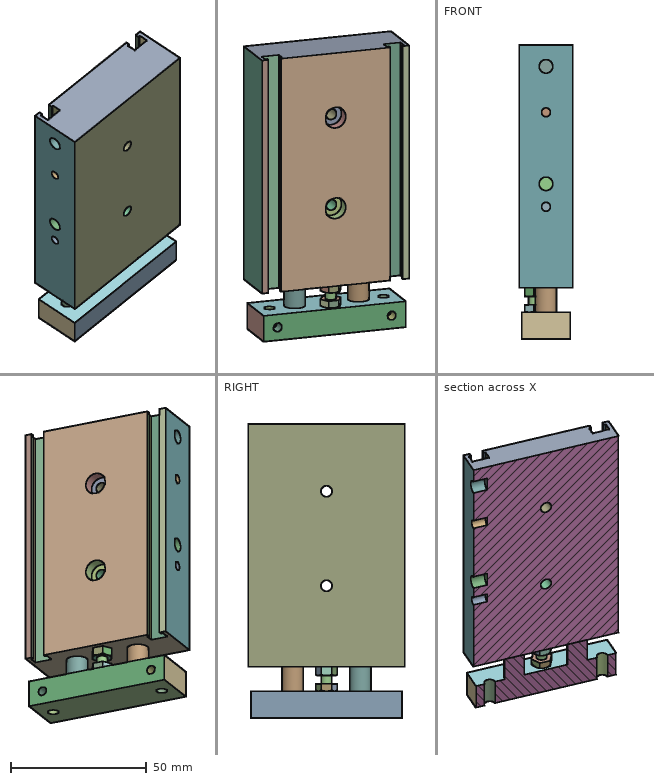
import cadquery as cq
import math

TOTAL_HEIGHT = 109.0
HOUSING_DEPTH = 20.0
HOUSING_WIDTH = 58.0
HOUSING_HEIGHT = 90.0
PLATE_DEPTH = 18.0
PLATE_WIDTH = 56.0
PLATE_HEIGHT = 10.0
GAP = TOTAL_HEIGHT - HOUSING_HEIGHT - PLATE_HEIGHT
HOUSING_BOTTOM = PLATE_HEIGHT + GAP
HOUSING_FACE_X = -HOUSING_DEPTH / 2
PLATE_FACE_X = -PLATE_DEPTH / 2

SLOT_EDGE_DISTANCE = 5.0
SLOT_CENTER_Y = HOUSING_WIDTH / 2 - SLOT_EDGE_DISTANCE
SLOT_OPENING = 5.0
SLOT_INNER_WIDTH = 6.6
SLOT_LIP = 1.4
SLOT_DEPTH = 4.9

MOUNT_HOLE_DIAMETER = 4.0
COUNTERBORE_DIAMETER = 8.0
COUNTERBORE_DEPTH = 4.7
MOUNT_DROPS = (25.0, 60.0)

PORT_DIAMETER = 5.0
PORT_DROPS = (8.0, 51.5)
SIDE_HOLE_DIAMETER = 3.3
SIDE_HOLE_DEPTH = 5.5

ROD_DIAMETER = 8.0
ROD_Y = 12.5
PLATE_HOLE_Y = 22.5
PLATE_FACE_HOLE_DIAMETER = 3.3
PLATE_FACE_HOLE_DEPTH = 5.5
PLATE_THROUGH_HOLE_DIAMETER = 4.0

BOLT_X = -4.5
SHANK_DIAMETER = 4.0
HEX_ACROSS_FLATS = 7.0
HEX_ACROSS_CORNERS = HEX_ACROSS_FLATS / math.cos(math.pi / 6)
HEAD_HEIGHT = 3.2
NUT_HEIGHT = 2.7
HEX_CHAMFER_ANGLE = math.radians(30)


def box_between(x_range, y_range, z_range):
    """Axis-aligned box given by its limits on each axis."""
    sizes = [high - low for low, high in (x_range, y_range, z_range)]
    corner = (x_range[0], y_range[0], z_range[0])
    return cq.Workplane("XY").box(*sizes, centered=False).translate(corner)


def cylinder(diameter, length, start, direction):
    """Cylinder that runs from a start point along a direction."""
    return cq.Workplane(cq.Solid.makeCylinder(diameter / 2, length, cq.Vector(*start), cq.Vector(*direction)))


def make_t_slot(center_y):
    """Cutter for one T-slot over the whole housing height."""
    z_range = (HOUSING_BOTTOM, TOTAL_HEIGHT)
    opening = box_between(
        (HOUSING_FACE_X, HOUSING_FACE_X + SLOT_DEPTH),
        (center_y - SLOT_OPENING / 2, center_y + SLOT_OPENING / 2),
        z_range,
    )
    inner = box_between(
        (HOUSING_FACE_X + SLOT_LIP, HOUSING_FACE_X + SLOT_DEPTH),
        (center_y - SLOT_INNER_WIDTH / 2, center_y + SLOT_INNER_WIDTH / 2),
        z_range,
    )
    return opening.union(inner)


def make_side_hole(diameter, drop):
    """Cutter for a blind hole in the -Y side, a given distance below the top."""
    start = (0, -HOUSING_WIDTH / 2, TOTAL_HEIGHT - drop)
    return cylinder(diameter, SIDE_HOLE_DEPTH, start, (0, 1, 0))


def make_housing():
    body = box_between(
        (HOUSING_FACE_X, -HOUSING_FACE_X),
        (-HOUSING_WIDTH / 2, HOUSING_WIDTH / 2),
        (HOUSING_BOTTOM, TOTAL_HEIGHT),
    )
    for side in (-1, 1):
        body = body.cut(make_t_slot(side * SLOT_CENTER_Y))
    for drop in MOUNT_DROPS:
        start = (HOUSING_FACE_X, 0, TOTAL_HEIGHT - drop)
        body = body.cut(cylinder(MOUNT_HOLE_DIAMETER, HOUSING_DEPTH, start, (1, 0, 0)))
        body = body.cut(cylinder(COUNTERBORE_DIAMETER, COUNTERBORE_DEPTH, start, (1, 0, 0)))
        body = body.cut(make_side_hole(SIDE_HOLE_DIAMETER, drop))
    for drop in PORT_DROPS:
        body = body.cut(make_side_hole(PORT_DIAMETER, drop))
    return body


def make_rod_plate():
    """End plate with the two guide rods that reach up to the housing."""
    body = box_between(
        (PLATE_FACE_X, -PLATE_FACE_X),
        (-PLATE_WIDTH / 2, PLATE_WIDTH / 2),
        (0, PLATE_HEIGHT),
    )
    for side in (-1, 1):
        hole_y = side * PLATE_HOLE_Y
        face_start = (PLATE_FACE_X, hole_y, PLATE_HEIGHT / 2)
        body = body.union(cylinder(ROD_DIAMETER, GAP, (0, side * ROD_Y, PLATE_HEIGHT), (0, 0, 1)))
        body = body.cut(cylinder(PLATE_FACE_HOLE_DIAMETER, PLATE_FACE_HOLE_DEPTH, face_start, (1, 0, 0)))
        body = body.cut(cylinder(PLATE_THROUGH_HOLE_DIAMETER, PLATE_HEIGHT, (0, hole_y, 0), (0, 0, 1)))
    return body


def make_hexagon(bottom, height):
    """Hexagon with corners along Y and its lower corners turned to a cone."""
    prism = (
        cq.Workplane("XY", origin=(0, 0, bottom))
        .transformed(rotate=(0, 0, 90))
        .polygon(6, HEX_ACROSS_CORNERS)
        .extrude(height)
    )
    flat_radius = HEX_ACROSS_FLATS / 2
    corner_radius = HEX_ACROSS_CORNERS / 2
    chamfer_height = (corner_radius - flat_radius) * math.tan(HEX_CHAMFER_ANGLE)
    envelope = (
        cq.Workplane("XZ")
        .moveTo(0, bottom)
        .lineTo(flat_radius, bottom)
        .lineTo(corner_radius, bottom + chamfer_height)
        .lineTo(corner_radius, bottom + height)
        .lineTo(0, bottom + height)
        .close()
        .revolve(360, (0, 0, 0), (0, 1, 0))
    )
    return prism.intersect(envelope)


def make_stop_bolt():
    """Shank between plate and housing, with a hexagon at each end."""
    shank = cylinder(SHANK_DIAMETER, GAP, (0, 0, PLATE_HEIGHT), (0, 0, 1))
    nut = make_hexagon(PLATE_HEIGHT, NUT_HEIGHT)
    head = make_hexagon(HOUSING_BOTTOM - HEAD_HEIGHT, HEAD_HEIGHT)
    return shank.union(nut).union(head).translate((BOLT_X, 0, 0))


housing = make_housing()
rod_plate = make_rod_plate()
stop_bolt = make_stop_bolt()

result = cq.Compound.makeCompound([housing.val(), rod_plate.val(), stop_bolt.val()])